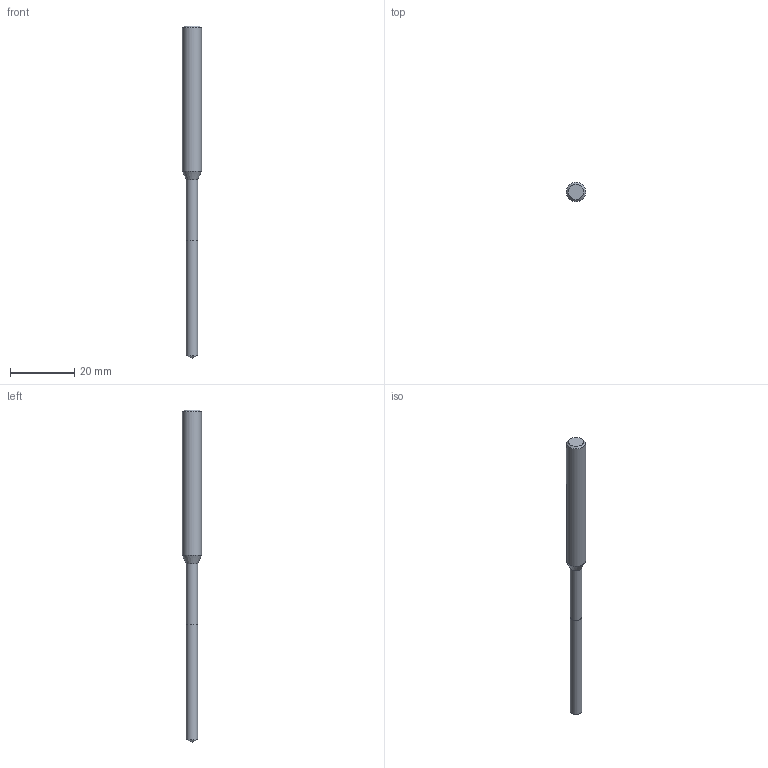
import cadquery as cq
import math

SHANK_DIAMETER = 6.0
CUTTING_DIAMETER = 3.6

POINT_ANGLE = 140.0
SHOULDER_HALF_ANGLE = 25.0

CUTTING_LENGTH = 36.0
NECK_TOP = 55.0
SHANK_TOP = 103.0

BEVEL_SIZE = 0.6

shank_radius = SHANK_DIAMETER / 2
cutting_radius = CUTTING_DIAMETER / 2
point_height = cutting_radius / math.tan(math.radians(POINT_ANGLE / 2))
shoulder_height = (shank_radius - cutting_radius) / math.tan(math.radians(SHOULDER_HALF_ANGLE))
shank_bottom = NECK_TOP + shoulder_height


def revolve_about_z(outline):
    """Turn a closed (radius, height) outline about Z, starting from the -Y side."""
    points = [(-radius, height) for radius, height in outline]
    return cq.Workplane("YZ").polyline(points).close().revolve(360, (0, 0), (0, 1))


def make_shank():
    """Bevelled cylindrical shank with a cone leading down to the neck."""
    return revolve_about_z([
        (0, CUTTING_LENGTH),
        (cutting_radius, CUTTING_LENGTH),
        (cutting_radius, NECK_TOP),
        (shank_radius, shank_bottom),
        (shank_radius, SHANK_TOP - BEVEL_SIZE),
        (shank_radius - BEVEL_SIZE, SHANK_TOP),
        (0, SHANK_TOP),
    ])


def make_cutting_part():
    """Plain cutting cylinder with a conical drill point, butting against the neck."""
    return revolve_about_z([
        (0, -point_height),
        (cutting_radius, 0),
        (cutting_radius, CUTTING_LENGTH),
        (0, CUTTING_LENGTH),
    ])


shank = make_shank()
cutting_part = make_cutting_part()

result = cq.Compound.makeCompound([shank.val(), cutting_part.val()])